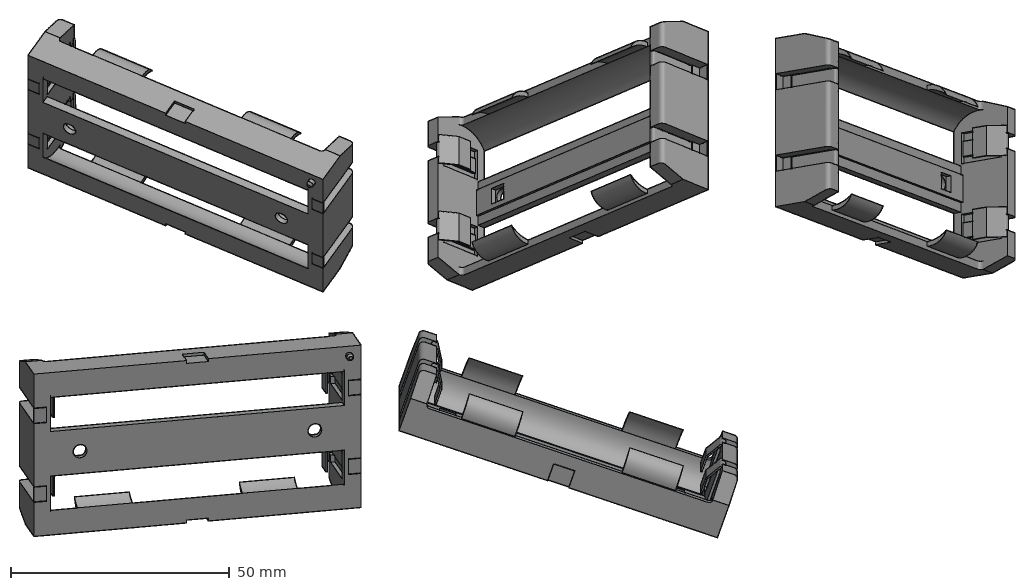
import cadquery as cq
import math


length = 77.06
height = 39.78
depth = 14.82
rail_depth = 7.2
end_wall = 3.95
end_edge_radius = 1.1
end_root_radius = 0.9
slope_start = 8.1
slope_inset = 2.25

cell_z = 9.63
trough_radius = 8.3
window_width = 8.32
cell_axis_y = math.sqrt(trough_radius ** 2 - (window_width / 2) ** 2)

rib_half = cell_z - window_width / 2
rib_depth = 2.0
ridge_half = 3.2
ridge_top = 2.6
screw_x = 27.65
screw_diameter = 3.2
nut_half = 1.95
nut_floor = 1.3

recess_width = 5.1
recess_depth = 4.2
recess_inset = 0.7
pin_x = 35.7
pin_z = 17.55
pin_diameter = 1.65
pin_length = 1.61
pin_tip = 0.65
pin_tip_inset = 0.4

metal = 0.4
foot_width = 3.6
spring_width = 7.1
side_clearance = 0.1
groove_floor = 2.93
pocket_top = 13.0
step_y = 2.6
contact_top = 14.7
bend_radius = 0.55
bend_flat = 1.3
spring_x = 31.95
knee_y = 10.8
spring_end_y = 7.0

clip_inner_x = 12.95
clip_outer_x = 25.9
clip_thickness = 1.05
clip_tip_y = 12.55
clip_bulge_y = 10.2
clip_bulge_z = 18.5

half_length = length / 2
half_height = height / 2
inner_x = half_length - end_wall
plate_x = half_length - groove_floor


def block(x0, x1, y0, y1, z0, z1):
    """Box between pairs of opposite faces."""
    return cq.Workplane("XY").box(x1 - x0, y1 - y0, z1 - z0, centered=False).translate((x0, y0, z0))


def cell_cylinder(radius, x0, x1, z):
    """Cylinder about a cell axis, between two X positions."""
    axis_start = cq.Workplane("YZ", origin=(x0, cell_axis_y, z))
    return axis_start.circle(radius).extrude(x1 - x0)


def housing_blank():
    """Long rails with a taller wall at each end, narrowing towards the back."""
    body = block(-half_length, half_length, 0, depth, -half_height, half_height)
    body = body.edges("|Z and >Y").fillet(end_edge_radius)
    gap = block(-inner_x, inner_x, rail_depth, 2 * depth, -height, height)
    body = body.cut(gap.edges("|Z and <Y").fillet(end_root_radius))
    for side in (-1, 1):
        corner = cq.Workplane("YZ", origin=(-half_length, 0, 0)).polyline([
            (slope_start, side * half_height),
            (depth, side * (half_height - slope_inset)),
            (depth, side * half_height),
        ]).close().extrude(length)
        body = body.cut(corner)
    return body


def cut_cells(body):
    """Hollow both cell troughs out of the block."""
    body = body.cut(block(-inner_x, inner_x, 0, depth, -cell_z, cell_z))
    for z in (-cell_z, cell_z):
        body = body.cut(cell_cylinder(trough_radius, -inner_x, inner_x, z))
    return body


def middle_rib():
    """Flat rib between the windows, with a low ridge, screw holes and nut pockets."""
    rib = block(-inner_x, inner_x, 0, rib_depth, -rib_half, rib_half)
    rib = rib.union(block(-inner_x, inner_x, 0, ridge_top, -ridge_half, ridge_half))
    for x in (-screw_x, screw_x):
        hole = cq.Workplane("XZ", origin=(x, 0, 0)).circle(screw_diameter / 2).extrude(-ridge_top)
        pocket = block(x - nut_half, x + nut_half, nut_floor, ridge_top, -nut_half, nut_half)
        rib = rib.cut(hole).cut(pocket)
    return rib


def contact_seats():
    """Groove, notch over the wall and inner pocket for the right-hand contact of the upper cell."""
    groove_half = foot_width / 2 + side_clearance
    pocket_half = spring_width / 2 + side_clearance
    groove = block(plate_x, half_length, 0, depth, cell_z - groove_half, cell_z + groove_half)
    notch = block(inner_x, plate_x, pocket_top, depth, cell_z - groove_half, cell_z + groove_half)
    pocket = block(inner_x, plate_x, step_y - metal, pocket_top, cell_z - pocket_half, cell_z + pocket_half)
    return groove.union(notch).union(pocket)


def at_four_corners(shape):
    """Copies of a shape from the +X +Z quarter, mirrored into all four quarters."""
    pair = [shape, shape.mirror("YZ")]
    return pair + [copy.mirror("XY") for copy in pair]


def locating_pin():
    """Pin with a tapered tip, standing out of the front face."""
    radius = pin_diameter / 2
    pin = cq.Workplane("XZ", origin=(pin_x, 0, pin_z)).circle(radius).extrude(pin_length)
    return pin.faces("<Y").chamfer(pin_tip, pin_tip_inset)


def make_housing():
    body = cut_cells(housing_blank()).union(middle_rib())
    for seat in at_four_corners(contact_seats()):
        body = body.cut(seat)
    for side in (-1, 1):
        low, high = sorted([side * half_height, side * (half_height - recess_inset)])
        recess = block(-recess_width / 2, recess_width / 2, 0, recess_depth, low, high)
        body = body.cut(recess)
    return body.union(locating_pin())


def strip_outline(path, thickness):
    """Corner points of a strip lying to the left of a path of straight runs, mitred at each bend."""
    normals = []
    for (x0, y0), (x1, y1) in zip(path, path[1:]):
        run = math.hypot(x1 - x0, y1 - y0)
        normals.append(((y0 - y1) / run, (x1 - x0) / run))
    offset_side = []
    for i, (x, y) in enumerate(path):
        ax, ay = normals[max(i - 1, 0)]
        bx, by = normals[min(i, len(normals) - 1)]
        mitre = thickness / (1 + ax * bx + ay * by)
        offset_side.append((x + (ax + bx) * mitre, y + (ay + by) * mitre))
    return path + offset_side[::-1]


def make_contact():
    """Right-hand contact of the upper cell: foot, leg, and a spring that widens inside the end wall."""
    spring_path = [
        (plate_x, step_y - metal),
        (plate_x, contact_top),
        (plate_x - bend_flat, contact_top),
        (spring_x, knee_y),
        (spring_x, spring_end_y),
    ]
    start = cq.Workplane("XY", origin=(0, 0, cell_z - spring_width / 2))
    spring = start.polyline(strip_outline(spring_path, metal)).close().extrude(spring_width)
    fold = cq.selectors.BoxSelector(
        (inner_x - metal, contact_top - metal / 2, 0), (half_length, depth, height))
    spring = spring.edges("|Z").edges(fold).fillet(bend_radius)
    foot_bottom = cell_z - foot_width / 2
    foot_top = cell_z + foot_width / 2
    wide_part = block(0, inner_x, 0, depth, 0, height)
    narrow_part = block(inner_x, half_length, 0, depth, foot_bottom, foot_top)
    spring = spring.intersect(wide_part.union(narrow_part))
    leg = block(plate_x, plate_x + metal, 0, step_y, foot_bottom, foot_top)
    foot = block(plate_x, half_length, 0, metal, foot_bottom, foot_top)
    return spring.union(leg).union(foot)


def arc_z(radius, y):
    """Z of the outward half of a circle about the upper cell axis, at a given Y."""
    return cell_z + math.sqrt(radius ** 2 - (y - cell_axis_y) ** 2)


def make_clip():
    """Right-hand clip of the upper cell: an arched strip standing on the rail, thinning to a sharp tip."""
    tip = (clip_tip_y, arc_z(trough_radius, clip_tip_y))
    inner_root = (rail_depth, arc_z(trough_radius, rail_depth))
    outer_root = (rail_depth, inner_root[1] + clip_thickness)
    inner_middle_y = (rail_depth + clip_tip_y) / 2
    inner_middle = (inner_middle_y, arc_z(trough_radius, inner_middle_y))
    profile = cq.Workplane("YZ", origin=(clip_inner_x, 0, 0)).moveTo(*inner_root)
    profile = profile.threePointArc(inner_middle, tip)
    profile = profile.threePointArc((clip_bulge_y, clip_bulge_z), outer_root).close()
    return profile.extrude(clip_outer_x - clip_inner_x)


housing = make_housing()
contacts = at_four_corners(make_contact())
clips = at_four_corners(make_clip())

result = cq.Compound.makeCompound([
    housing.val(),
    *[contact.val() for contact in contacts],
    *[clip.val() for clip in clips],
])